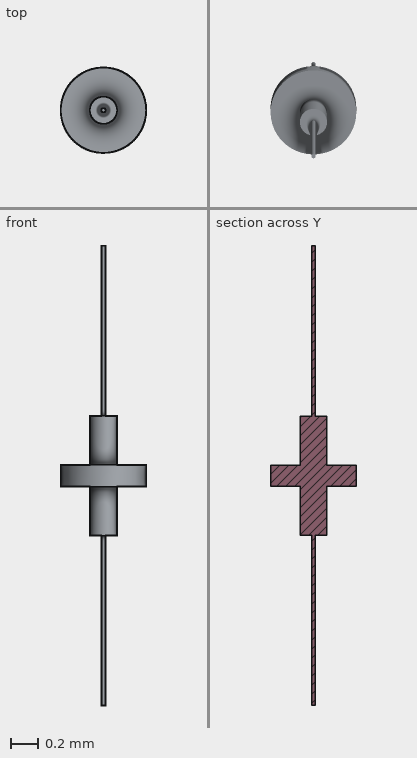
import cadquery as cq

WIRE_LENGTH = 3.38
WIRE_DIAMETER = 0.032
SLEEVE_LENGTH = 0.88
SLEEVE_DIAMETER = 0.2
FLANGE_THICKNESS = 0.16
FLANGE_DIAMETER = 0.63


def centred_cylinder(diameter, length):
    """Cylinder along Z, centred on the origin."""
    return cq.Workplane("XY").cylinder(length, diameter / 2)


wire = centred_cylinder(WIRE_DIAMETER, WIRE_LENGTH)
sleeve = centred_cylinder(SLEEVE_DIAMETER, SLEEVE_LENGTH)
flange = centred_cylinder(FLANGE_DIAMETER, FLANGE_THICKNESS)

result = flange.union(sleeve).union(wire)